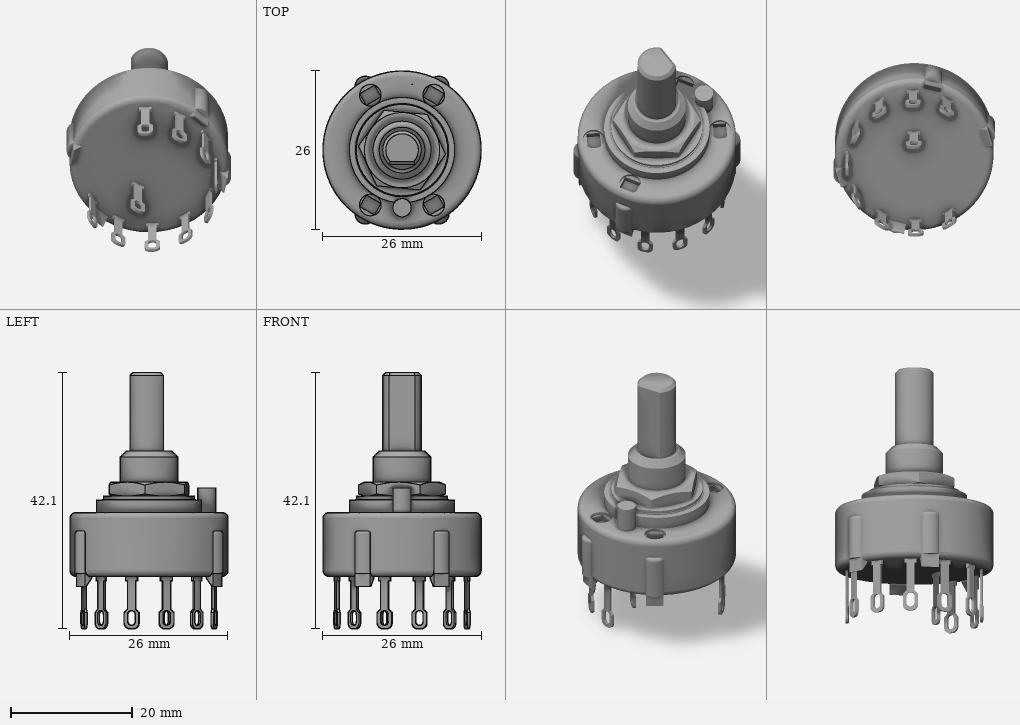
import cadquery as cq
import math


BODY_DIAMETER = 26.0
BODY_HEIGHT = 10.5
BODY_EDGE_RADIUS = 1.0

BOSS_DIAMETER = 17.3
BOSS_TOP = 12.55
SEAT_DIAMETER = 15.3
SEAT_HEIGHT = 0.12
WASHER_DIAMETER = 15.0
WASHER_TOP = 13.2

NUT_CORNER_DIAMETER = 14.36
NUT_TOP = 15.5
NUT_ROTATION = -5.5
NUT_CHAMFER_DIAMETER = 12.35
NUT_TOP_CHAMFER_HEIGHT = 0.48
NUT_BOTTOM_CHAMFER_HEIGHT = 0.37

BUSHING_DIAMETER = 9.5
BUSHING_TOP = 20.6
BUSHING_CHAMFER = 1.0
SHAFT_DIAMETER = 6.35
SHAFT_CHAMFER = 0.5
SHAFT_FLAT_DISTANCE = 2.37
FLAT_DEPTH_IN_BUSHING = 1.0
TERMINAL_LENGTH = 8.6
OVERALL_HEIGHT = 42.11
SHAFT_TOP = OVERALL_HEIGHT - TERMINAL_LENGTH

PIN_DIAMETER = 3.0
PIN_OFFSET = 9.45
PIN_TOP = 14.55

SNAP_ANGLES = (60, 120, 240, 300)
POCKET_RADIUS = 10.4
POCKET_DIAMETER = 3.55
POCKET_DEPTH = 0.5
SLOT_WIDTH = 2.8
SLOT_LENGTH = math.sqrt(POCKET_DIAMETER**2 - SLOT_WIDTH**2)
SLOT_DEPTH = 1.6

RIB_WIDTH = 2.9
RIB_BOTTOM = 0.5
RIB_TOP = 7.5
RIB_PEAK_RADIUS = 13.75
RIB_TOP_FILLET = 0.5
RIB_ROOT = 1.0
LEG_FACE_RADIUS = 12.95
LEG_INNER_RADIUS = 11.65
LEG_TIP_THICKNESS = 0.2
LEG_LENGTH = 1.65
LEG_TAPER_START = 0.25

TERMINAL_COUNT = 9
TERMINAL_SPACING = 30.0
TERMINAL_RADIUS = 11.05
TERMINAL_START_ANGLE = 15.0
TERMINAL_THICKNESS = 0.45
COMMON_RADIUS = 4.0
COMMON_ANGLE = 225.0
TAB_WIDTH = 2.0
TAB_LENGTH = 0.7
STEM_WIDTH = 1.35
EYE_WIDTH = 2.5
EYE_LENGTH = 3.25
EYE_SHOULDER = (EYE_WIDTH - STEM_WIDTH) / 2
EYE_CORNER = 1.0
EYE_HOLE_WIDTH = 1.3
EYE_HOLE_LENGTH = 2.4
EYE_RIM = 0.6
TERMINAL_EMBED = 1.0


def cylinder(diameter, bottom, top):
    """Upright cylinder about Z between two heights."""
    return cq.Workplane("XY").workplane(offset=bottom).circle(diameter / 2).extrude(top - bottom)


def place(shape, radius, angle):
    """Move a shape out along +X, then turn it about Z."""
    return shape.translate((radius, 0, 0)).rotate((0, 0, 0), (0, 0, 1), angle)


def make_body():
    body = cylinder(BODY_DIAMETER, 0, BODY_HEIGHT).edges().fillet(BODY_EDGE_RADIUS)
    boss = cylinder(BOSS_DIAMETER, BODY_HEIGHT - BODY_EDGE_RADIUS, BOSS_TOP)
    seat = cylinder(SEAT_DIAMETER, BOSS_TOP, BOSS_TOP + SEAT_HEIGHT)
    washer = cylinder(WASHER_DIAMETER, BOSS_TOP, WASHER_TOP)
    pin = cylinder(PIN_DIAMETER, BODY_HEIGHT - BODY_EDGE_RADIUS, PIN_TOP)
    pin = pin.translate((0, -PIN_OFFSET, 0))
    return body.union(boss).union(seat).union(washer).union(pin)


def make_nut():
    """Hexagon trimmed by a coned envelope so that both faces have chamfered corners."""
    height = NUT_TOP - WASHER_TOP
    nut = cq.Workplane("XY").polygon(6, NUT_CORNER_DIAMETER).extrude(height)
    face_radius = NUT_CHAMFER_DIAMETER / 2
    corner_radius = NUT_CORNER_DIAMETER / 2
    profile = [
        (0, 0),
        (face_radius, 0),
        (corner_radius, NUT_BOTTOM_CHAMFER_HEIGHT),
        (corner_radius, height - NUT_TOP_CHAMFER_HEIGHT),
        (face_radius, height),
        (0, height),
    ]
    envelope = cq.Workplane("XZ").polyline(profile).close().revolve(360, (0, 0, 0), (0, 1, 0))
    nut = nut.rotate((0, 0, 0), (0, 0, 1), NUT_ROTATION)
    return nut.intersect(envelope).translate((0, 0, WASHER_TOP))


def make_bushing():
    """Plain neck with a bore that leaves a gap beside the shaft flat."""
    bushing = cylinder(BUSHING_DIAMETER, WASHER_TOP, BUSHING_TOP)
    bushing = bushing.faces(">Z").edges().chamfer(BUSHING_CHAMFER)
    return bushing.cut(cylinder(SHAFT_DIAMETER, BUSHING_TOP - FLAT_DEPTH_IN_BUSHING, BUSHING_TOP))


def make_shaft():
    bottom = BUSHING_TOP - FLAT_DEPTH_IN_BUSHING
    shaft = cylinder(SHAFT_DIAMETER, bottom, SHAFT_TOP)
    flat_cut = (
        cq.Workplane("XY")
        .box(SHAFT_DIAMETER, SHAFT_DIAMETER, SHAFT_TOP - bottom, centered=(True, False, False))
        .translate((0, -SHAFT_FLAT_DISTANCE - SHAFT_DIAMETER, bottom))
    )
    return shaft.cut(flat_cut).faces(">Z").edges().chamfer(SHAFT_CHAMFER)


def make_pocket():
    """Round pocket with a deeper rectangular slot inscribed in it."""
    pocket = cylinder(POCKET_DIAMETER, BODY_HEIGHT - POCKET_DEPTH, BODY_HEIGHT)
    slot = (
        cq.Workplane("XY")
        .box(SLOT_LENGTH, SLOT_WIDTH, SLOT_DEPTH, centered=(True, True, False))
        .translate((0, 0, BODY_HEIGHT - SLOT_DEPTH))
    )
    return pocket.union(slot)


def make_rib():
    """Bowed rib on the housing wall, with a flat-faced wedge leg below it."""
    half = RIB_WIDTH / 2
    root = LEG_FACE_RADIUS - RIB_ROOT
    rib = (
        cq.Workplane("XY")
        .workplane(offset=RIB_BOTTOM)
        .moveTo(root, -half)
        .lineTo(LEG_FACE_RADIUS, -half)
        .threePointArc((RIB_PEAK_RADIUS, 0), (LEG_FACE_RADIUS, half))
        .lineTo(root, half)
        .close()
        .extrude(RIB_TOP - RIB_BOTTOM)
    )
    rib = rib.faces(">Z").edges("%CIRCLE").fillet(RIB_TOP_FILLET)
    leg = (
        cq.Workplane("XZ")
        .moveTo(LEG_FACE_RADIUS, RIB_BOTTOM)
        .lineTo(LEG_FACE_RADIUS, -LEG_LENGTH)
        .lineTo(LEG_FACE_RADIUS - LEG_TIP_THICKNESS, -LEG_LENGTH)
        .lineTo(LEG_INNER_RADIUS, -LEG_TAPER_START)
        .lineTo(LEG_INNER_RADIUS, RIB_BOTTOM)
        .close()
        .extrude(half, both=True)
    )
    return rib.union(leg)


def make_terminal():
    """Flat solder lug hanging down from the housing, facing along X."""
    eye_top = EYE_LENGTH - TERMINAL_LENGTH
    eye_bottom = -TERMINAL_LENGTH
    tab_height = TERMINAL_EMBED + TAB_LENGTH
    sheet = cq.Workplane("YZ")
    tab = sheet.center(0, TERMINAL_EMBED - tab_height / 2).rect(TAB_WIDTH, tab_height)
    tab = tab.extrude(TERMINAL_THICKNESS / 2, both=True)
    half_stem = STEM_WIDTH / 2
    half_eye = EYE_WIDTH / 2
    outline = [
        (half_stem, 0),
        (half_stem, eye_top),
        (half_eye, eye_top - EYE_SHOULDER),
        (half_eye, eye_bottom),
    ]
    mirrored = [(-y, z) for y, z in reversed(outline)]
    lug = sheet.polyline(outline + mirrored).close().extrude(TERMINAL_THICKNESS / 2, both=True)
    lug = lug.edges("|X and <Z").fillet(EYE_CORNER)
    hole = (
        sheet.center(0, eye_bottom + EYE_RIM + EYE_HOLE_LENGTH / 2)
        .slot2D(EYE_HOLE_LENGTH, EYE_HOLE_WIDTH, 90)
        .extrude(TERMINAL_THICKNESS, both=True)
    )
    return tab.union(lug).cut(hole)


result = make_body().union(make_nut()).union(make_bushing()).union(make_shaft())

pocket = make_pocket()
rib = make_rib()
for angle in SNAP_ANGLES:
    result = result.union(place(rib, 0, angle))
    result = result.cut(place(pocket, POCKET_RADIUS, angle))

terminal = make_terminal()
for index in range(TERMINAL_COUNT):
    angle = TERMINAL_START_ANGLE + index * TERMINAL_SPACING
    result = result.union(place(terminal, TERMINAL_RADIUS, angle))
result = result.union(place(terminal, COMMON_RADIUS, COMMON_ANGLE))